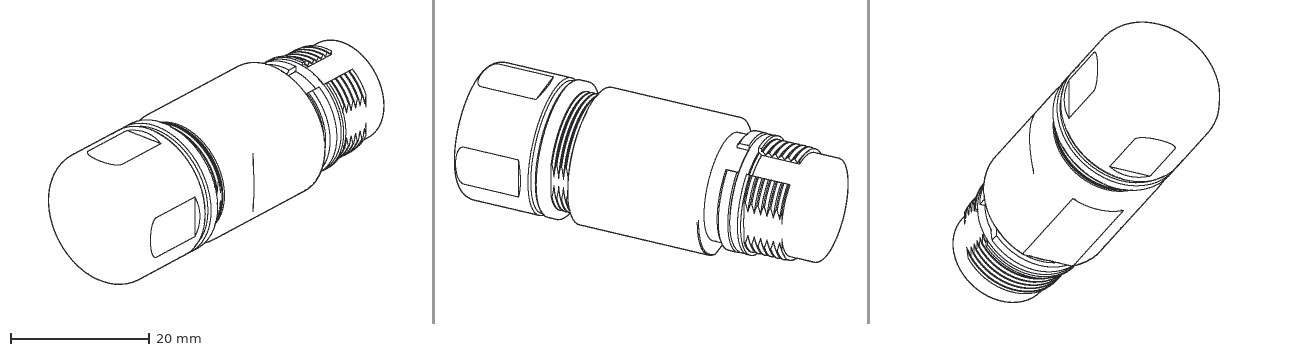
import cadquery as cq
import math


GROOVE_START = 12.25
GROOVE_END = 13.55
CAP_END = 15.1
REAR_THREAD_END = 17.8
RELIEF_END = 18.1
BODY_START = 18.45
BODY_END = 39.0
KEY_FLANGE_START = 41.2
KEY_FLANGE_END = 43.1
STOP_FLANGE_START = 44.6
STOP_FLANGE_END = 45.1
FRONT_THREAD_END = 51.05
PART_END = 55.05

BODY_RADIUS = 10.25
CAP_GROOVE_RADIUS = 9.9
REAR_CORE_RADIUS = 8.42
REAR_SHOULDER_RADIUS = 8.6
REAR_CREST_RADIUS = 8.85
NECK_RADIUS = 8.07
FLANGE_RADIUS = 8.9
PLUG_RADIUS = 7.76
FRONT_CORE_RADIUS = 7.92
FRONT_CREST_RADIUS = 8.4
RING_WIRE_RADIUS = 0.73
RING_OUTER_RADIUS = 8.85

CAP_FILLET = 2.0
EDGE_FILLET = 0.15
GROOVE_CHAMFER = 0.3
PLUG_FILLET = 0.2
NECK_CHAMFER = 0.35
KEY_BEVEL_LENGTH = 0.4
KEY_BEVEL_DEPTH = 0.5

REAR_PITCH = 0.75
REAR_TURNS = 4
FRONT_PITCH = 1.0
FRONT_TURNS = 7
FRONT_THREAD_TRIM = 0.67
CREST_WIDTH_RATIO = 0.2
REAR_FLAT_OFFSET = 8.39
FRONT_FLAT_OFFSET = 7.65

CAP_FLAT_OFFSET = 9.73
CAP_FLAT_LENGTH = 10.55
BODY_FLAT_OFFSET = 8.93
BODY_FLAT_START = 24.4
BODY_FLAT_END = 33.15
BODY_FLAT_FILLET = 0.4
LABEL_FLAT_OFFSET = 9.42
LABEL_FLAT_START = 21.55

TOP_KEY_LEFT = 1.05
TOP_KEY_RIGHT = 4.84
TOP_KEY_FOOT = 4.4
TOP_KEY_WALL_TILT = 38.5
SIDE_KEY_TOP = 0.0
SIDE_KEY_LEDGE_X = -7.18
SIDE_KEY_LEDGE_Z = -3.67
SIDE_KEY_WALL_TILT = 83.0

REACH = 12.0


def along_y(station):
    """Workplane at the given station whose local axes are X and Z, facing -Y."""
    return cq.Workplane("XZ", origin=(0, station, 0))


def rod(start, end, radius):
    return along_y(start).circle(radius).extrude(start - end)


def revolved(profile):
    """Turn a list of (radius, y) points around the part axis."""
    return cq.Workplane("XY").polyline(profile).close().revolve(360, (0, 0, 0), (0, 1, 0))


def box(x_range, y_range, z_range):
    size = [high - low for low, high in (x_range, y_range, z_range)]
    corner = (x_range[0], y_range[0], z_range[0])
    return cq.Workplane("XY").box(*size, centered=False).translate(corner)


def thread(end, turns, pitch, root_radius, crest_radius):
    """Evenly pitched V ridges on a solid core, the last ridge finishing at the end station."""
    start = end - turns * pitch
    crest = pitch * CREST_WIDTH_RATIO
    flank = (pitch - crest) / 2
    profile = [(0, start), (root_radius, start)]
    for turn in range(turns):
        base = start + turn * pitch
        profile.append((crest_radius, base + flank))
        profile.append((crest_radius, base + flank + crest))
        profile.append((root_radius, base + pitch))
    profile.append((0, end))
    return revolved(profile)


def with_side_flats(solid, start, end, offset):
    """Keep the part of the solid with |X| <= offset, between two stations."""
    return solid.intersect(box((-offset, offset), (start, end), (-REACH, REACH)))


def make_cap():
    """Rounded cap with a seal groove and four wrench flats that end in 45 degree ramps."""
    cap = rod(0, CAP_END, BODY_RADIUS)
    cap = cap.faces("<Y").edges().fillet(CAP_FILLET)
    cap = cap.faces(">Y").edges().fillet(EDGE_FILLET)
    groove = revolved([
        (CAP_GROOVE_RADIUS, GROOVE_START + GROOVE_CHAMFER),
        (BODY_RADIUS, GROOVE_START),
        (REACH, GROOVE_START),
        (REACH, GROOVE_END),
        (BODY_RADIUS, GROOVE_END),
        (CAP_GROOVE_RADIUS, GROOVE_END - GROOVE_CHAMFER),
    ])
    cap = cap.cut(groove)
    rise = REACH - CAP_FLAT_OFFSET
    flat = (
        cq.Workplane("XY")
        .polyline([
            (CAP_FLAT_OFFSET, -REACH),
            (CAP_FLAT_OFFSET, CAP_FLAT_LENGTH),
            (REACH, CAP_FLAT_LENGTH + rise),
            (REACH, -REACH),
        ])
        .close()
        .extrude(REACH, both=True)
    )
    for quarter in range(4):
        cap = cap.cut(flat.rotate((0, 0, 0), (0, 1, 0), 90 * quarter))
    return cap


def make_body():
    """Sleeve with two opposite wrench flats between 45 degree ramps and a label flat below."""
    body = rod(BODY_START, BODY_END, BODY_RADIUS).edges().fillet(EDGE_FILLET)
    rise = REACH - BODY_FLAT_OFFSET
    flat = (
        cq.Workplane("XY")
        .polyline([
            (BODY_FLAT_OFFSET, BODY_FLAT_START),
            (BODY_FLAT_OFFSET, BODY_FLAT_END),
            (REACH, BODY_FLAT_END + rise),
            (REACH, BODY_FLAT_START - rise),
        ])
        .close()
        .extrude(REACH, both=True)
    )
    pocketed = body.cut(flat).cut(flat.mirror("YZ"))
    pocket_zone = cq.selectors.BoxSelector(
        (-REACH, BODY_FLAT_START - rise, -BODY_FLAT_OFFSET),
        (REACH, BODY_FLAT_END + rise, BODY_FLAT_OFFSET),
    )
    body = pocketed.edges(pocket_zone).fillet(BODY_FLAT_FILLET)
    label_flat = box((-REACH, REACH), (LABEL_FLAT_START, BODY_END), (-REACH, -LABEL_FLAT_OFFSET))
    return body.cut(label_flat)


def make_rear_thread():
    ridges = thread(REAR_THREAD_END, REAR_TURNS, REAR_PITCH, REAR_CORE_RADIUS, REAR_CREST_RADIUS)
    relief = rod(REAR_THREAD_END, RELIEF_END, REAR_CORE_RADIUS)
    neck = with_side_flats(ridges.union(relief), CAP_END, RELIEF_END, REAR_FLAT_OFFSET)
    return neck.union(rod(RELIEF_END, BODY_START, REAR_SHOULDER_RADIUS))


def make_flanges():
    bevel_radius = FLANGE_RADIUS - KEY_BEVEL_DEPTH
    key_flange = revolved([
        (0, KEY_FLANGE_START),
        (bevel_radius, KEY_FLANGE_START),
        (FLANGE_RADIUS, KEY_FLANGE_START + KEY_BEVEL_LENGTH),
        (FLANGE_RADIUS, KEY_FLANGE_END),
        (0, KEY_FLANGE_END),
    ])
    return key_flange.union(rod(STOP_FLANGE_START, STOP_FLANGE_END, FLANGE_RADIUS))


def make_keyways():
    """Prisms that cut the upper and the -X keyway through the flanges and the thread."""
    length = FRONT_THREAD_END - KEY_FLANGE_START
    neck_corner_z = math.sqrt(NECK_RADIUS**2 - TOP_KEY_RIGHT**2)
    wall_rise = math.tan(math.radians(TOP_KEY_WALL_TILT))
    wall_base_z = neck_corner_z - wall_rise * (TOP_KEY_RIGHT - TOP_KEY_FOOT)
    wall_tip_z = neck_corner_z + wall_rise * (REACH - TOP_KEY_RIGHT)
    top = (
        along_y(KEY_FLANGE_START)
        .polyline([
            (TOP_KEY_LEFT, wall_base_z),
            (TOP_KEY_FOOT, wall_base_z),
            (REACH, wall_tip_z),
            (TOP_KEY_LEFT, wall_tip_z),
        ])
        .close()
        .extrude(-length)
    )

    wall_slope = 1 / math.tan(math.radians(SIDE_KEY_WALL_TILT))
    wall_top_x = SIDE_KEY_LEDGE_X - wall_slope * (SIDE_KEY_TOP - SIDE_KEY_LEDGE_Z)
    wall_bottom_x = SIDE_KEY_LEDGE_X + wall_slope * (REACH + SIDE_KEY_LEDGE_Z)
    side = (
        along_y(KEY_FLANGE_START)
        .polyline([
            (wall_top_x, SIDE_KEY_TOP),
            (wall_bottom_x, -REACH),
            (-REACH, -REACH),
            (-REACH, SIDE_KEY_TOP),
        ])
        .close()
        .extrude(-length)
    )
    return top.union(side)


def make_seal_ring():
    center_radius = RING_OUTER_RADIUS - RING_WIRE_RADIUS
    center_y = (KEY_FLANGE_END + STOP_FLANGE_START) / 2
    return (
        cq.Workplane("XY")
        .center(-center_radius, center_y)
        .circle(RING_WIRE_RADIUS)
        .revolve(360, (center_radius, 0), (center_radius, 1))
    )


def make_plug():
    keyways = make_keyways()
    ridges_end = FRONT_THREAD_END + FRONT_THREAD_TRIM
    ridges = thread(ridges_end, FRONT_TURNS, FRONT_PITCH, FRONT_CORE_RADIUS, FRONT_CREST_RADIUS)
    ridges = with_side_flats(ridges, STOP_FLANGE_START, FRONT_THREAD_END, FRONT_FLAT_OFFSET)
    keyed = make_flanges().union(ridges).cut(keyways)
    neck = rod(BODY_END, STOP_FLANGE_END, NECK_RADIUS).faces(">Y").edges().chamfer(NECK_CHAMFER)
    barrel = rod(STOP_FLANGE_END, PART_END, PLUG_RADIUS).faces(">Y").edges().fillet(PLUG_FILLET)
    return neck.union(barrel).union(keyed).union(make_seal_ring())


result = make_cap().union(make_rear_thread()).union(make_body()).union(make_plug())